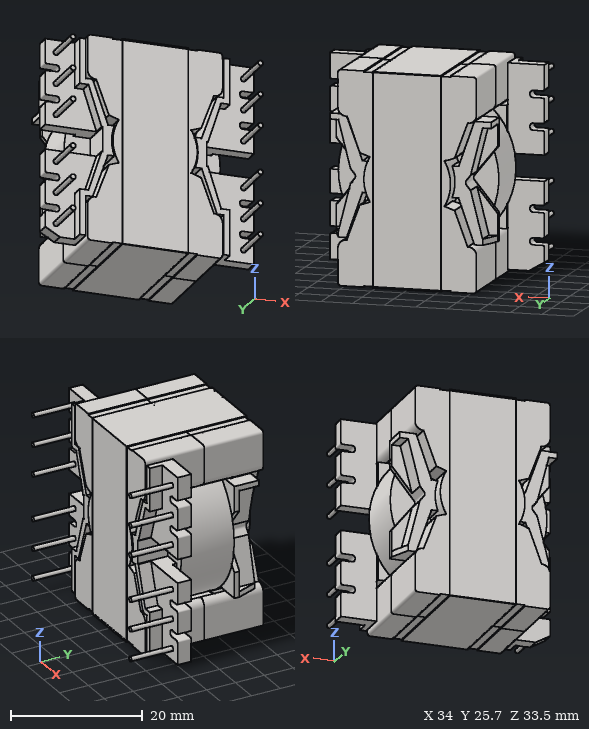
import cadquery as cq
import math


CORE_HALF_DEPTH = 10.27
CORE_HALF_WIDTH = 10.98
CORE_HEIGHT = 33.5
CORE_HALF_HEIGHT = CORE_HEIGHT / 2
POST_RADIUS = 6.87
WINDOW_HALF_DEPTH = 5.75
LEG_INNER = 9.6
MOUTH_X = 9.6
THROAT_X = 7.5
THROAT_Z = 4.05
POST_NOTCH_Z = 3.5
LEG_OUTER_FILLET = 0.5
LEG_INNER_FILLET = 1.3
BAND_SEAT_HALF_WIDTH = 6.87
WINDOW_RADIUS = 13.75

BAND_HALF_WIDTH = 5.37
BAND_THICKNESS = 0.17

BORE_RADIUS = 7.05
TUBE_RADIUS = 7.72
RIM_Z = 9.55
RIM_THICKNESS = 0.95
LOWER_FLANGE_OUTER = -5.6
LOWER_FLANGE_INNER = -4.93
UPPER_FLANGE_INNER = 4.2
UPPER_FLANGE_OUTER = 5.1
UPPER_HALF_WIDTH = 12.8
RAIL_END = -10.15
WING_END = 8.5
RAIL_OUTER_X = 12.25
RAIL_INNER_X = 11.22
WALL_OUTER_TOP_X = 10.8
WALL_INNER_TOP_X = 10.13
WALL_OUTER_LOW_X = 8.67
WALL_INNER_LOW_X = 7.6
WALL_INNER_LOW_Z = 2.45
BRIDGE_X = 8.45
BRIDGE_HALF_HEIGHT = 2.0
NOTCH_Z = 5.17
NOTCH_TIP_X = 8.57
NOTCH_TIP_RADIUS = 0.5
WING_TOP_X = 11.42
WING_LOW_X = 9.52
WING_LOW_Z = 1.2

TAB_OUTER_X = 17.0
TAB_TOP_Z = 16.0
TAB_FRONT = -8.0
SLOT_WIDTH = 1.1
SLOT_END_X = 14.7
SLOT_LIP_RADIUS = 0.27
CORNER_CUT_X = 2.38
CORNER_CUT_Z = 1.35
PIN_RADIUS = 0.4
PIN_X = 15.25
PIN_END = -15.23
PIN_PITCH = 5.05
FIRST_PIN_Z = 3.8
PIN_Z = [FIRST_PIN_Z + i * PIN_PITCH for i in range(3)]
SLOT_Z = [FIRST_PIN_Z + (i + 0.5) * PIN_PITCH for i in range(2)]

WINDING_RADIUS = 12.7


def profile_plane(y_start):
    """Workplane at Y = y_start with local axes along X and Z."""
    return cq.Workplane("XZ", origin=(0, y_start, 0))


def prism(points, y_start, y_end):
    return profile_plane(y_start).polyline(points).close().extrude(y_start - y_end)


def cylinder(radius, y_start, y_end, x=0.0, z=0.0):
    return profile_plane(y_start).center(x, z).circle(radius).extrude(y_start - y_end)


def slab(half_x, half_z, y_start, y_end):
    return profile_plane(y_start).rect(2 * half_x, 2 * half_z).extrude(y_start - y_end)


def both_z(shape):
    return shape.union(shape.mirror("XY"))


def both_x(shape):
    return shape.union(shape.mirror("YZ"))


def side_opening(y_start, y_end):
    """Opening at -X between the legs, ending on the post surface."""
    notch_x = math.sqrt(POST_RADIUS**2 - POST_NOTCH_Z**2)
    outside_x = CORE_HALF_WIDTH + LEG_INNER_FILLET
    return (
        profile_plane(y_start)
        .moveTo(-outside_x, LEG_INNER)
        .lineTo(-MOUTH_X, LEG_INNER)
        .lineTo(-THROAT_X, THROAT_Z)
        .lineTo(-notch_x, POST_NOTCH_Z)
        .threePointArc((-POST_RADIUS, 0), (-notch_x, -POST_NOTCH_Z))
        .lineTo(-THROAT_X, -THROAT_Z)
        .lineTo(-MOUTH_X, -LEG_INNER)
        .lineTo(-outside_x, -LEG_INNER)
        .close()
        .extrude(y_start - y_end)
    )


def leg_edges(z, x_sign):
    """Selector for the Y edge of a leg at the outer X side and height z."""
    x = x_sign * CORE_HALF_WIDTH
    margin = 0.05
    return cq.selectors.BoxSelector(
        (x - margin, -CORE_HALF_DEPTH, z - margin), (x + margin, 2 * CORE_HALF_DEPTH, z + margin)
    )


def core_half():
    """Core half on the +Y side of the joint."""
    half = slab(CORE_HALF_WIDTH, CORE_HALF_HEIGHT, 0, CORE_HALF_DEPTH)
    half = half.cut(both_x(side_opening(0, CORE_HALF_DEPTH)))
    for x_sign in (-1, 1):
        for z_sign in (-1, 1):
            half = half.edges(leg_edges(z_sign * CORE_HALF_HEIGHT, x_sign)).fillet(LEG_OUTER_FILLET)
            half = half.edges(leg_edges(z_sign * LEG_INNER, x_sign)).fillet(LEG_INNER_FILLET)
    window = cylinder(WINDOW_RADIUS, 0, WINDOW_HALF_DEPTH)
    half = half.cut(window.cut(cylinder(POST_RADIUS, 0, WINDOW_HALF_DEPTH)))
    seat_outer = slab(BAND_SEAT_HALF_WIDTH, CORE_HALF_HEIGHT, 0, CORE_HALF_DEPTH)
    seat_inner = slab(BAND_SEAT_HALF_WIDTH, CORE_HALF_HEIGHT - BAND_THICKNESS, 0, CORE_HALF_DEPTH)
    return half.cut(seat_outer.cut(seat_inner))


def band():
    outer_depth = CORE_HALF_DEPTH + BAND_THICKNESS
    outer = slab(BAND_HALF_WIDTH, CORE_HALF_HEIGHT, -outer_depth, outer_depth)
    inner_height = CORE_HALF_HEIGHT - BAND_THICKNESS
    return outer.cut(slab(BAND_HALF_WIDTH, inner_height, -CORE_HALF_DEPTH, CORE_HALF_DEPTH))


def lower_flange():
    disc = cylinder(UPPER_HALF_WIDTH, LOWER_FLANGE_OUTER, LOWER_FLANGE_INNER)
    limit = slab(RAIL_INNER_X, UPPER_HALF_WIDTH, LOWER_FLANGE_OUTER, LOWER_FLANGE_INNER)
    plate = slab(RAIL_INNER_X, RIM_Z, LOWER_FLANGE_OUTER, LOWER_FLANGE_INNER)
    flange = disc.intersect(limit).union(plate)
    passage = slab(UPPER_HALF_WIDTH, BRIDGE_HALF_HEIGHT, LOWER_FLANGE_OUTER, LOWER_FLANGE_INNER)
    return flange.cut(passage).union(
        slab(BRIDGE_X, BRIDGE_HALF_HEIGHT, LOWER_FLANGE_OUTER, LOWER_FLANGE_INNER)
    )


def rail():
    """Wall at -X, +Z on the pin side: straight beside the leg, then sloping to the bridge."""
    shelf_z = RIM_Z - RIM_THICKNESS
    points = [
        (-RAIL_OUTER_X, TAB_TOP_Z),
        (-RAIL_INNER_X, TAB_TOP_Z),
        (-RAIL_INNER_X, RIM_Z),
        (-WALL_INNER_TOP_X, RIM_Z),
        (-WALL_INNER_LOW_X, WALL_INNER_LOW_Z),
        (-POST_NOTCH_Z, WALL_INNER_LOW_Z),
        (-POST_NOTCH_Z, 0),
        (-BRIDGE_X, 0),
        (-BRIDGE_X, BRIDGE_HALF_HEIGHT),
        (-WALL_OUTER_LOW_X, BRIDGE_HALF_HEIGHT),
        (-WALL_OUTER_TOP_X, shelf_z),
        (-RAIL_OUTER_X, shelf_z),
    ]
    return prism(points, RAIL_END, LOWER_FLANGE_OUTER)


def slot(z):
    """Wire slot in a tab edge, with a round inner end and rounded lips."""
    half = SLOT_WIDTH / 2
    lip = SLOT_LIP_RADIUS
    lip_mid = lip * (1 - math.sqrt(0.5))
    edge = -TAB_OUTER_X
    return (
        profile_plane(TAB_FRONT)
        .moveTo(edge, z - half - lip)
        .threePointArc((edge + lip_mid, z - half - lip_mid), (edge + lip, z - half))
        .lineTo(-SLOT_END_X - half, z - half)
        .threePointArc((-SLOT_END_X, z), (-SLOT_END_X - half, z + half))
        .lineTo(edge + lip, z + half)
        .threePointArc((edge + lip_mid, z + half + lip_mid), (edge, z + half + lip))
        .close()
        .extrude(TAB_FRONT - LOWER_FLANGE_OUTER)
    )


def tab():
    """Terminal tab at -X, +Z with its slots and pins."""
    shelf_z = RIM_Z - RIM_THICKNESS
    points = [
        (-TAB_OUTER_X, BRIDGE_HALF_HEIGHT),
        (-TAB_OUTER_X, TAB_TOP_Z),
        (-RAIL_OUTER_X, TAB_TOP_Z),
        (-RAIL_OUTER_X, shelf_z),
        (-WALL_OUTER_TOP_X, shelf_z),
        (-WALL_OUTER_LOW_X, BRIDGE_HALF_HEIGHT),
    ]
    body = prism(points, TAB_FRONT, LOWER_FLANGE_OUTER)
    for z in SLOT_Z:
        body = body.cut(slot(z))
    for z in PIN_Z:
        body = body.union(cylinder(PIN_RADIUS, PIN_END, LOWER_FLANGE_OUTER, -PIN_X, z))
    return body


def corner_cut():
    """Orientation cut on the outer corner of the -X, -Z tab."""
    points = [
        (-TAB_OUTER_X, -TAB_TOP_Z),
        (-TAB_OUTER_X + CORNER_CUT_X, -TAB_TOP_Z),
        (-TAB_OUTER_X, -TAB_TOP_Z + CORNER_CUT_Z),
    ]
    return prism(points, TAB_FRONT, LOWER_FLANGE_OUTER)


def wing_wall():
    """Sloping wall at -X, +Z on the far side of the upper flange."""
    shelf_z = RIM_Z - RIM_THICKNESS
    points = [
        (-WING_TOP_X, RIM_Z),
        (-WALL_INNER_TOP_X, RIM_Z),
        (-WALL_INNER_LOW_X, WALL_INNER_LOW_Z),
        (-POST_NOTCH_Z, WALL_INNER_LOW_Z),
        (-POST_NOTCH_Z, 0),
        (-WING_LOW_X, 0),
        (-WING_LOW_X, WING_LOW_Z),
        (-WING_TOP_X, shelf_z),
    ]
    return prism(points, UPPER_FLANGE_OUTER, WING_END)


def rim(z_low, outer_end):
    """Rim of the upper flange at -X; its outer edge runs out to X at Y = WING_END."""
    return (
        cq.Workplane("XY", origin=(0, 0, z_low))
        .polyline(
            [
                (-WALL_OUTER_TOP_X, UPPER_FLANGE_OUTER),
                (-UPPER_HALF_WIDTH, UPPER_FLANGE_OUTER),
                (-outer_end, WING_END),
                (-WALL_INNER_TOP_X, WING_END),
                (-WALL_INNER_TOP_X, UPPER_FLANGE_OUTER),
            ]
        )
        .close()
        .extrude(RIM_THICKNESS)
    )


def flange_notch():
    """V notch at -X through the upper flange and its walls."""
    points = [
        (-UPPER_HALF_WIDTH, NOTCH_Z),
        (-NOTCH_TIP_X, 0),
        (-UPPER_HALF_WIDTH, -NOTCH_Z),
    ]
    return prism(points, UPPER_FLANGE_INNER, WING_END).edges(">X").fillet(NOTCH_TIP_RADIUS)


def upper_flange():
    flange = cylinder(UPPER_HALF_WIDTH, UPPER_FLANGE_INNER, UPPER_FLANGE_OUTER)
    flange = flange.union(slab(UPPER_HALF_WIDTH, RIM_Z, UPPER_FLANGE_INNER, UPPER_FLANGE_OUTER))
    walls = both_z(wing_wall())
    walls = walls.union(rim(RIM_Z - RIM_THICKNESS, UPPER_HALF_WIDTH))
    walls = walls.union(rim(-RIM_Z, WING_TOP_X))
    return flange.union(both_x(walls)).cut(both_x(flange_notch()))


def bobbin():
    body = cylinder(TUBE_RADIUS, LOWER_FLANGE_INNER, UPPER_FLANGE_INNER)
    body = body.union(lower_flange()).union(upper_flange())
    body = body.union(both_x(both_z(rail().union(tab()))))
    body = body.cut(corner_cut())
    return body.cut(cylinder(BORE_RADIUS, RAIL_END, WING_END))


def winding():
    coil = cylinder(WINDING_RADIUS, LOWER_FLANGE_INNER, UPPER_FLANGE_INNER)
    return coil.cut(cylinder(TUBE_RADIUS, LOWER_FLANGE_INNER, UPPER_FLANGE_INNER))


far_core = core_half()
near_core = far_core.mirror("XZ")

result = cq.Compound.makeCompound(
    [far_core.val(), near_core.val(), band().val(), bobbin().val(), winding().val()]
)